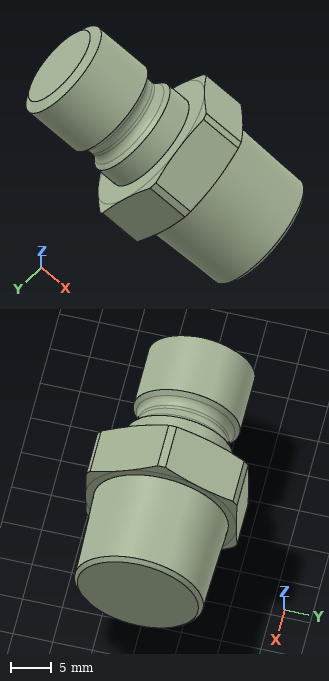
import cadquery as cq
import math

total_length = 34.0
hex_start = 15.47
hex_end = 21.95

plug_radius = 13.5 / 2
tip_radius = 5.5
tip_chamfer_length = 0.7

groove_center = 10.4
groove_floor_radius = 11.5 / 2
groove_floor_width = 0.4
groove_arc_radius = 1.6
groove_wall_angle = math.radians(45)

across_flats = 19.0
across_corners = 21.4
hex_chamfer_angle = math.radians(15)

taper_start_radius = 8.5
taper_per_side = 1 / 32
end_chamfer = 0.5


def make_turned_body():
    """Plug, groove and tapered end as one revolved solid."""
    floor_half = groove_floor_width / 2

    def arc_point(angle):
        """Distance from groove centre and radius at an angle along the wall arc."""
        distance = floor_half + groove_arc_radius * math.sin(angle)
        radius = groove_floor_radius + groove_arc_radius * (1 - math.cos(angle))
        return distance, radius

    middle_distance, middle_radius = arc_point(groove_wall_angle / 2)
    wall_distance, wall_radius = arc_point(groove_wall_angle)
    edge_run = (plug_radius - wall_radius) / math.tan(groove_wall_angle)
    groove_half = wall_distance + edge_run

    chamfer_start = total_length - end_chamfer
    taper_end_radius = taper_start_radius - taper_per_side * (chamfer_start - hex_end)

    return (
        cq.Workplane("XY")
        .moveTo(0, 0)
        .lineTo(0, tip_radius)
        .lineTo(tip_chamfer_length, plug_radius)
        .lineTo(groove_center - groove_half, plug_radius)
        .lineTo(groove_center - wall_distance, wall_radius)
        .threePointArc(
            (groove_center - middle_distance, middle_radius),
            (groove_center - floor_half, groove_floor_radius),
        )
        .lineTo(groove_center + floor_half, groove_floor_radius)
        .threePointArc(
            (groove_center + middle_distance, middle_radius),
            (groove_center + wall_distance, wall_radius),
        )
        .lineTo(groove_center + groove_half, plug_radius)
        .lineTo(hex_end, plug_radius)
        .lineTo(hex_end, taper_start_radius)
        .lineTo(chamfer_start, taper_end_radius)
        .lineTo(total_length, taper_end_radius - end_chamfer)
        .lineTo(total_length, 0)
        .close()
        .revolve(360, (0, 0, 0), (1, 0, 0))
    )


def make_hexagon():
    """Hexagon with corners on Z, trimmed round and chamfered on both faces."""
    sharp_corners = across_flats / math.cos(math.pi / 6)
    prism = (
        cq.Workplane("YZ", origin=(hex_start, 0, 0))
        .transformed(rotate=(0, 0, 90))
        .polygon(6, sharp_corners)
        .extrude(hex_end - hex_start)
    )
    face_radius = across_flats / 2
    corner_radius = across_corners / 2
    chamfer_length = (corner_radius - face_radius) * math.tan(hex_chamfer_angle)
    envelope = (
        cq.Workplane("XY")
        .moveTo(hex_start, 0)
        .lineTo(hex_start, face_radius)
        .lineTo(hex_start + chamfer_length, corner_radius)
        .lineTo(hex_end - chamfer_length, corner_radius)
        .lineTo(hex_end, face_radius)
        .lineTo(hex_end, 0)
        .close()
        .revolve(360, (0, 0, 0), (1, 0, 0))
    )
    return prism.intersect(envelope)


result = make_turned_body().union(make_hexagon())